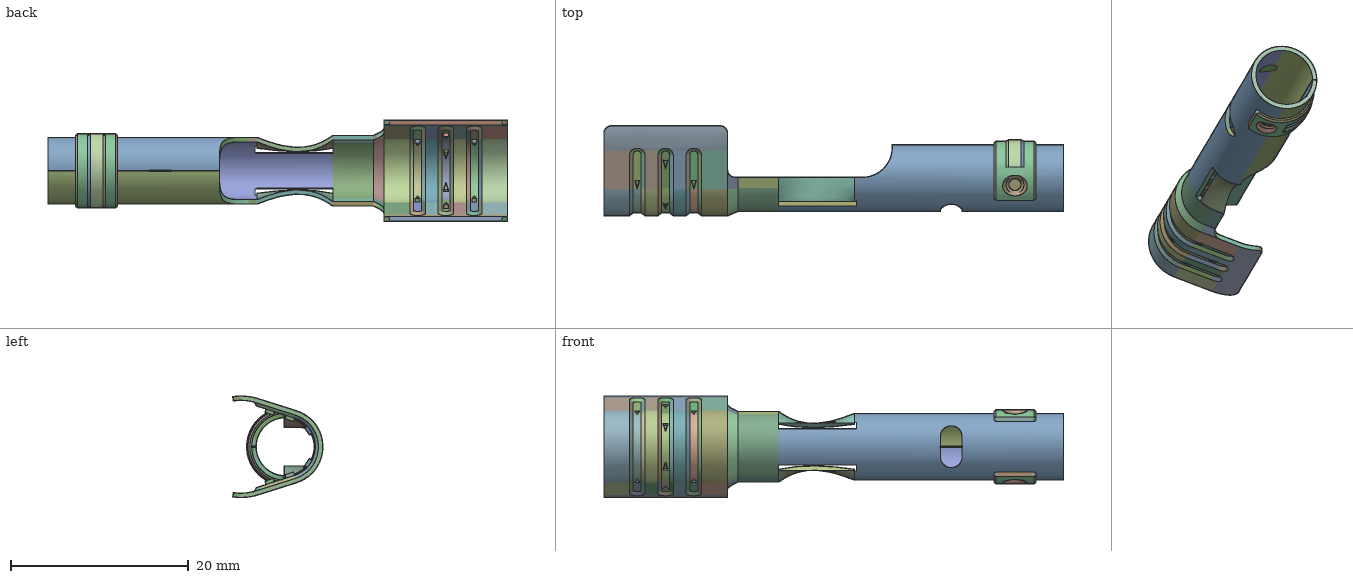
import cadquery as cq
import math


sheet = 0.508
total_length = 51.69
total_depth = 10.16
total_height = 11.43

join_tolerance = 1e-5

tube_r = 3.76
tube_bore_r = tube_r - sheet
open_edge_y = 0.12
window_r = 3.3
window_end_x = 32.4
window_arc_x = window_end_x - window_r
seam_gap = 0.08
slot_x = 39.05
slot_width = 2.45
slot_length = 4.7

crimp_length = 13.93
crimp_r = 4.25
flare_angle = math.radians(17.5)
lip_start_y = 3.11
lip_end_y = total_depth - crimp_r
lip_corner_r = 0.9

rib_depth = 0.35
rib_mouth_width = 1.75
rib_floor_width = 0.9
rib_tip_y = 3.36
rib_first_x = 3.76
rib_pitch = 3.18
rib_positions = [rib_first_x + i * rib_pitch for i in range(3)]
barb_height = 0.4
barb_width = 0.55
barb_length = 1.0
side_barb_y = -0.85
middle_barb_y = 1.43
bottom_barb_angle = math.radians(35)

neck_start_x = 15.1
neck_fillet_r = 0.8

pinch_start_x = 19.66
pinch_entry_x = 21.0
pinch_waist_x = 23.83
pinch_exit_x = 26.57
pinch_end_x = 28.18
pinch_entry_share = 0.59
pinch_waist_share = 0.99
pinch_exit_share = 0.52
pinch_half_width = 2.64
slit_end_x = 28.4
slit_inner_z = 2.05
slit_outer_z = 2.72
wall_bottom_y = -2.62
wall_inner_bottom_y = -2.05

band_start_x = 43.84
band_end_x = 48.58
band_x = (band_start_x + band_end_x) / 2
band_r = 4.18
band_end_y = -2.48
band_bevel = 0.22
band_corner_r = 0.35
pad_height = 0.16
pad_base_width = 2.02
pad_top_width = 1.41
pad_base_y = 1.25
dimple_y = -0.86
dimple_mouth_r = 1.38
dimple_floor_r = 0.68
dimple_plug_r = 1.0
dimple_cone_depth = 0.6
dimple_depth = 0.75

arm_along = (math.cos(flare_angle), math.sin(flare_angle))
arm_normal = (-math.sin(flare_angle), math.cos(flare_angle))


def arm_point(offset, along):
    """Point of the +Z arm at a distance from the axis and a distance past the bottom arc."""
    return tuple(offset * n + along * a for n, a in zip(arm_normal, arm_along))


def along_at_y(offset, y):
    """Distance along the arm at which its line reaches the given y."""
    return (y - offset * arm_normal[0]) / arm_along[0]


def mirrored(point):
    return (point[0], -point[1])


def ring(x_start, x_end, outer_r, inner_r):
    return cq.Workplane("YZ", origin=(x_start, 0, 0)).circle(outer_r).circle(inner_r).extrude(x_end - x_start)


def block(x_range, y_range, z_range):
    size = [high - low for low, high in (x_range, y_range, z_range)]
    return cq.Workplane("XY").box(*size, centered=False).translate((x_range[0], y_range[0], z_range[0]))


def both_sides(solid):
    """The solid together with its mirror image across the XY plane."""
    return solid.union(solid.mirror("XY"))


def crimp_sheet():
    """Bottom arc, two flared arms and two lips that curl back toward the axis."""
    lip_along = along_at_y(crimp_r, lip_start_y)
    lip_start_z = arm_point(crimp_r, lip_along)[1]
    lip_r = (total_height / 2 - lip_start_z) / (1 - math.cos(flare_angle))
    lip_center = arm_point(crimp_r - lip_r, lip_along)
    end_angle = math.asin((lip_end_y - lip_center[0]) / lip_r)

    def lip_point(radius, angle):
        return (lip_center[0] + radius * math.sin(angle), lip_center[1] + radius * math.cos(angle))

    def lip_points(radius):
        return [lip_point(radius, angle) for angle in (-flare_angle, 0, end_angle)]

    inner_r = crimp_r - sheet
    outer_start, outer_mid, outer_end = lip_points(lip_r)
    inner_start, inner_mid, inner_end = lip_points(lip_r - sheet)
    outer_foot = arm_point(crimp_r, 0)
    inner_foot = arm_point(inner_r, 0)
    barrel = (
        cq.Workplane("YZ")
        .moveTo(*mirrored(outer_foot))
        .threePointArc((-crimp_r, 0), outer_foot)
        .lineTo(*outer_start)
        .threePointArc(outer_mid, outer_end)
        .lineTo(*inner_end)
        .threePointArc(inner_mid, inner_start)
        .lineTo(*inner_foot)
        .threePointArc((-inner_r, 0), mirrored(inner_foot))
        .lineTo(*mirrored(inner_start))
        .threePointArc(mirrored(inner_mid), mirrored(inner_end))
        .lineTo(*mirrored(outer_end))
        .threePointArc(mirrored(outer_mid), mirrored(outer_start))
        .close()
        .extrude(crimp_length)
    )
    rounded_lips = (
        block((0, crimp_length), (-total_depth, lip_end_y), (-total_height, total_height))
        .edges("|Z and >Y")
        .fillet(lip_corner_r)
    )
    return barrel.intersect(rounded_lips)


def rib(x, top_r):
    """Trapezoid bar that follows the sheet around the bottom and up both arms."""
    plane = cq.Plane(origin=(x, 0, 0), xDir=(-1, 0, 0), normal=(0, *arm_along))
    half_mouth = rib_mouth_width / 2
    half_floor = rib_floor_width / 2
    floor_r = top_r - rib_depth
    tip_along = along_at_y(crimp_r, rib_tip_y) - half_mouth

    section = [(-half_mouth, top_r), (half_mouth, top_r), (half_floor, floor_r), (-half_floor, floor_r)]
    bottom_angle = 180 - 2 * math.degrees(flare_angle)
    bottom = cq.Workplane(plane).polyline(section).close().revolve(bottom_angle, (1, 0), (0, 0))
    arm = cq.Workplane(plane).polyline(section).close().extrude(tip_along)
    tip = (
        cq.Workplane(plane)
        .workplane(offset=tip_along)
        .polyline([(0, top_r), (half_mouth, top_r), (half_floor, floor_r), (0, floor_r)])
        .close()
        .revolve(360, (0, 0), (0, 1))
    )
    return bottom.union(both_sides(arm.union(tip)))


def barb(x, normal, outer_offset, along):
    """Triangular prism of a barb, standing radially inward from a distance off the axis."""
    outward = cq.Vector(0, *normal)
    tangent = cq.Vector(0, normal[1], -normal[0])
    base = cq.Vector(x, 0, 0) + outward * outer_offset + tangent * along
    plane = cq.Plane(origin=base, xDir=tangent, normal=outward * -1)
    half_length = barb_length / 2
    half_width = barb_width / 2
    triangle = [(-half_length, 0), (half_length, -half_width), (half_length, half_width)]
    return cq.Workplane(plane).polyline(triangle).close().extrude(barb_height)


middle_rib_x = rib_positions[1]
bottom_barb_normal = (-math.cos(bottom_barb_angle), math.sin(bottom_barb_angle))
barb_places = [
    (rib_positions[0], arm_normal, along_at_y(crimp_r, side_barb_y)),
    (middle_rib_x, arm_normal, along_at_y(crimp_r, middle_barb_y)),
    (middle_rib_x, bottom_barb_normal, 0),
    (rib_positions[2], arm_normal, along_at_y(crimp_r, side_barb_y)),
]

crimp = crimp_sheet()
for rib_x in rib_positions:
    crimp = crimp.union(rib(rib_x, crimp_r - sheet)).cut(rib(rib_x, crimp_r))

rib_floor_r = crimp_r - rib_depth
for barb_x, barb_normal, barb_along in barb_places:
    tooth = barb(barb_x, barb_normal, rib_floor_r - sheet, barb_along)
    pocket = barb(barb_x, barb_normal, rib_floor_r, barb_along)
    crimp = crimp.union(both_sides(tooth)).cut(both_sides(pocket))


def trough(radius, edge_y, x):
    """Closed outline of the open U section: bottom arc and two flared arms up to edge_y."""
    inner_r = radius - sheet
    outer_foot = arm_point(radius, 0)
    inner_foot = arm_point(inner_r, 0)
    outer_edge = arm_point(radius, along_at_y(radius, edge_y))
    inner_edge = arm_point(inner_r, along_at_y(inner_r, edge_y))
    return (
        cq.Workplane("YZ", origin=(x, 0, 0))
        .moveTo(*mirrored(outer_foot))
        .threePointArc((-radius, 0), outer_foot)
        .lineTo(*outer_edge)
        .lineTo(*inner_edge)
        .lineTo(*inner_foot)
        .threePointArc((-inner_r, 0), mirrored(inner_foot))
        .lineTo(*mirrored(inner_edge))
        .lineTo(*mirrored(outer_edge))
        .close()
    )


def neck_transition():
    """Cone from the crimp section down to the neck, its edges filleted into the crimp end."""
    fillet_top_y = open_edge_y + neck_fillet_r
    wires = [
        trough(crimp_r, fillet_top_y, crimp_length).wire().val(),
        trough(tube_r, fillet_top_y, neck_start_x).wire().val(),
    ]
    cone = cq.Workplane(cq.Solid.makeLoft(wires, True))
    fillet_x = crimp_length + neck_fillet_r
    clearance = (
        cq.Workplane("XY", origin=(0, 0, -total_height))
        .moveTo(crimp_length, fillet_top_y)
        .radiusArc((fillet_x, open_edge_y), -neck_fillet_r)
        .lineTo(total_length, open_edge_y)
        .lineTo(total_length, fillet_top_y)
        .close()
        .extrude(2 * total_height)
    )
    return cone.cut(clearance)


neck = trough(tube_r, open_edge_y, neck_start_x).extrude(pinch_start_x - neck_start_x)


def pinch_section(x, pinch, top_z):
    """Outline of one side wall at x, blended between the round section and the flat pinched wall."""

    def edge(radius, bottom_y, round_top_z, pinched_z):
        levels = [bottom_y, (bottom_y + open_edge_y) / 2, open_edge_y]
        round_z = [math.sqrt(radius**2 - y**2) for y in levels[:2]] + [round_top_z]
        return [(y, z + pinch * (pinched_z - z)) for y, z in zip(levels, round_z)]

    outer = edge(tube_r, wall_bottom_y, top_z, pinch_half_width)
    inner = edge(tube_bore_r, wall_inner_bottom_y, top_z - sheet, pinch_half_width - sheet)
    return (
        cq.Workplane("YZ", origin=(x, 0, 0))
        .moveTo(*outer[0])
        .threePointArc(outer[1], outer[2])
        .lineTo(*inner[2])
        .threePointArc(inner[1], inner[0])
        .close()
        .wire()
        .val()
    )


neck_edge_z = arm_point(tube_r, along_at_y(tube_r, open_edge_y))[1]
pinch_stations = [
    (pinch_start_x, 0, neck_edge_z),
    (pinch_entry_x, pinch_entry_share, neck_edge_z),
    (pinch_waist_x, pinch_waist_share, tube_r),
    (pinch_exit_x, pinch_exit_share, tube_r),
    (pinch_end_x, 0, tube_r),
]
pinch_wall = cq.Workplane(cq.Solid.makeLoft([pinch_section(*station) for station in pinch_stations]))

beyond_tube = 2 * tube_r


def tube_window():
    """Clearance above the open edges, ending in an arc that sweeps up the tube."""
    arc_end = (window_end_x, open_edge_y + window_r)
    return (
        cq.Workplane("XY", origin=(0, 0, -beyond_tube))
        .moveTo(0, open_edge_y)
        .lineTo(window_arc_x, open_edge_y)
        .radiusArc(arc_end, -window_r)
        .lineTo(arc_end[0], beyond_tube)
        .lineTo(0, beyond_tube)
        .close()
        .extrude(2 * beyond_tube)
    )


def rolled_tube():
    """Tube rolled from the sheet, its two edges meeting in a narrow seam on the +Y side."""
    seam_z = seam_gap / 2
    diagonal = math.sqrt(0.5)

    def seam_point(radius):
        return (math.sqrt(radius**2 - seam_z**2), seam_z)

    def quarter_mid(radius):
        return (radius * diagonal, radius * diagonal)

    return (
        cq.Workplane("YZ", origin=(pinch_start_x, 0, 0))
        .moveTo(*seam_point(tube_r))
        .threePointArc(quarter_mid(tube_r), (0, tube_r))
        .threePointArc((-tube_r, 0), (0, -tube_r))
        .threePointArc(mirrored(quarter_mid(tube_r)), mirrored(seam_point(tube_r)))
        .lineTo(*mirrored(seam_point(tube_bore_r)))
        .threePointArc(mirrored(quarter_mid(tube_bore_r)), (0, -tube_bore_r))
        .threePointArc((-tube_bore_r, 0), (0, tube_bore_r))
        .threePointArc(quarter_mid(tube_bore_r), seam_point(tube_bore_r))
        .close()
        .extrude(total_length - pinch_start_x)
    )


wall_clearance = block(
    (pinch_start_x, pinch_end_x), (wall_bottom_y, beyond_tube), (-beyond_tube, beyond_tube)
)
slit = block((pinch_start_x, slit_end_x), (-beyond_tube, 0), (slit_inner_z, slit_outer_z))
inspection_slot = (
    cq.Workplane("XZ", origin=(slot_x, 0, 0)).slot2D(slot_length, slot_width, 90).extrude(beyond_tube)
)

tube = rolled_tube()
for cutter in (tube_window(), inspection_slot, wall_clearance, slit, slit.mirror("XY")):
    tube = tube.cut(cutter)


def dimple_plane():
    """Plane touching the outside of the band at the +Z dimple, facing the axis."""
    z = math.sqrt(band_r**2 - dimple_y**2)
    return cq.Plane(origin=(band_x, dimple_y, z), xDir=(1, 0, 0), normal=(0, -dimple_y, -z))


def dimple_recess():
    cone = cq.Solid.makeCone(dimple_mouth_r, dimple_floor_r, dimple_cone_depth)
    bore = cq.Solid.makeCylinder(dimple_floor_r, dimple_depth)
    return cq.Workplane(cone.fuse(bore).moved(cq.Location(dimple_plane())))


def dimple_plug():
    plug = cq.Workplane(dimple_plane()).circle(dimple_plug_r).extrude(band_r / 2)
    return plug.intersect(ring(band_start_x, band_end_x, tube_r, tube_bore_r))


def band_ring():
    """Bevelled C-shaped strip lying on the tube, open toward -Y."""
    outline = [
        (band_start_x, tube_r),
        (band_start_x, band_r - band_bevel),
        (band_start_x + band_bevel, band_r),
        (band_end_x - band_bevel, band_r),
        (band_end_x, band_r - band_bevel),
        (band_end_x, tube_r),
    ]
    strip = cq.Workplane("XY").polyline(outline).close().revolve(360, (0, 0), (1, 0))
    rounded_ends = (
        block((band_start_x, band_end_x), (band_end_y, 2 * band_r), (-2 * band_r, 2 * band_r))
        .edges("|Z and <Y")
        .fillet(band_corner_r)
    )
    return strip.intersect(rounded_ends)


def band_pad():
    """Raised pad with sloped sides around the +Y side of the band."""
    half_base = pad_base_width / 2
    half_top = pad_top_width / 2
    outline = [
        (band_x - half_base, tube_r),
        (band_x - half_base, band_r),
        (band_x - half_top, band_r + pad_height),
        (band_x + half_top, band_r + pad_height),
        (band_x + half_base, band_r),
        (band_x + half_base, tube_r),
    ]
    pad = cq.Workplane("XY").polyline(outline).close().revolve(360, (0, 0), (1, 0))
    return pad.intersect(block((0, total_length), (pad_base_y, 2 * band_r), (-2 * band_r, 2 * band_r)))


plugs = both_sides(dimple_plug())
band = band_ring().union(band_pad()).union(plugs).cut(both_sides(dimple_recess()))
terminal = crimp
for piece in (neck_transition(), neck, tube, pinch_wall, pinch_wall.mirror("XY")):
    terminal = terminal.union(piece, clean=False, tol=join_tolerance)
terminal = terminal.cut(plugs, clean=False)

result = cq.Compound.makeCompound([terminal.val(), band.val()])